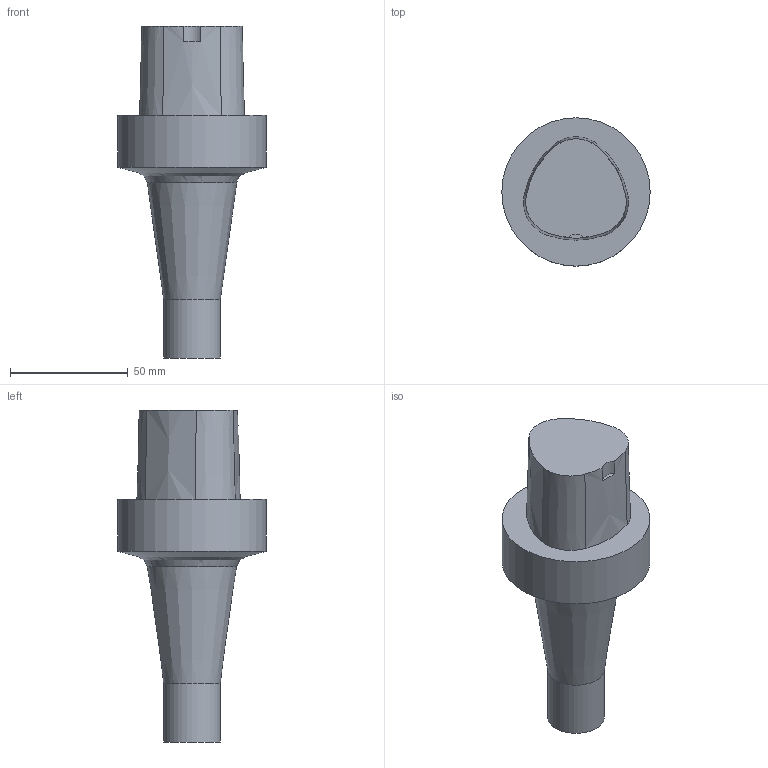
import cadquery as cq
import math


flange_diameter = 63.0
flange_thickness = 22.0
flange_back_angle = 15.0

overall_length = 141.03
shank_length = 38.0
tip_diameter = 24.1
tip_length = 25.0
neck_angle = 8.0
neck_fillet_radius = 5.0

flat_distance = 20.45
corner_distance = 23.45
corner_radius = 14.9
shank_taper = 1 / 40
flat_directions = (-90, 30, 150)
corner_step = 60

notch_depth = 6.5
notch_radius = 5.6
notch_innermost_y = -18.0


def polar(radius, angle):
    return cq.Vector(
        radius * math.cos(math.radians(angle)),
        radius * math.sin(math.radians(angle)),
    )


def flange_and_neck():
    flange_radius = flange_diameter / 2
    tip_radius = tip_diameter / 2
    bottom = shank_length - overall_length
    tip_top = bottom + tip_length
    back_slope = math.tan(math.radians(flange_back_angle))
    neck_slope = math.tan(math.radians(neck_angle))

    rim_height = -flange_thickness - back_slope * flange_radius - tip_top
    neck_top_radius = (tip_radius + neck_slope * rim_height) / (1 - neck_slope * back_slope)
    neck_top = -flange_thickness - back_slope * (flange_radius - neck_top_radius)

    body = (
        cq.Workplane("XZ")
        .moveTo(0, 0)
        .lineTo(flange_radius, 0)
        .lineTo(flange_radius, -flange_thickness)
        .lineTo(neck_top_radius, neck_top)
        .lineTo(tip_radius, tip_top)
        .lineTo(tip_radius, bottom)
        .lineTo(0, bottom)
        .close()
        .revolve(360, (0, 0), (0, 1))
    )
    neck_root = body.edges(cq.selectors.RadiusNthSelector(1))
    return neck_root.fillet(neck_fillet_radius)


def polygon_wire(height):
    """Closed outline of six tangent arcs, offset inward with height."""
    inset = shank_taper * height
    corner_center = corner_distance - corner_radius
    gap = flat_distance - corner_radius
    flat_center = (corner_center**2 - gap**2) / (2 * gap - corner_center)

    edges = []
    for direction in flat_directions:
        lobe_center = polar(-flat_center, direction)
        next_corner = direction + corner_step
        next_corner_center = polar(corner_center, next_corner)
        outward = (next_corner_center - lobe_center).normalized()
        flat_end = next_corner_center + outward * (corner_radius - inset)
        seam_radius = flat_end.Length
        seam_angle = math.degrees(math.atan2(flat_end.y, flat_end.x))
        flat_start = polar(seam_radius, 2 * direction - seam_angle)
        corner_end = polar(seam_radius, 2 * next_corner - seam_angle)
        flat_middle = polar(flat_distance - inset, direction)
        corner_tip = polar(corner_distance - inset, next_corner)
        edges.append(cq.Edge.makeThreePointArc(flat_start, flat_middle, flat_end))
        edges.append(cq.Edge.makeThreePointArc(flat_end, corner_tip, corner_end))
    return cq.Wire.assembleEdges(edges).translate(cq.Vector(0, 0, height))


def polygon_shank():
    return cq.Solid.makeLoft([polygon_wire(0), polygon_wire(shank_length)], True)


def keying_notch():
    return (
        cq.Workplane("XY", origin=(0, notch_innermost_y - notch_radius, shank_length - notch_depth))
        .circle(notch_radius)
        .extrude(notch_depth)
    )


shank = cq.Workplane(polygon_shank()).cut(keying_notch())
result = flange_and_neck().union(shank)